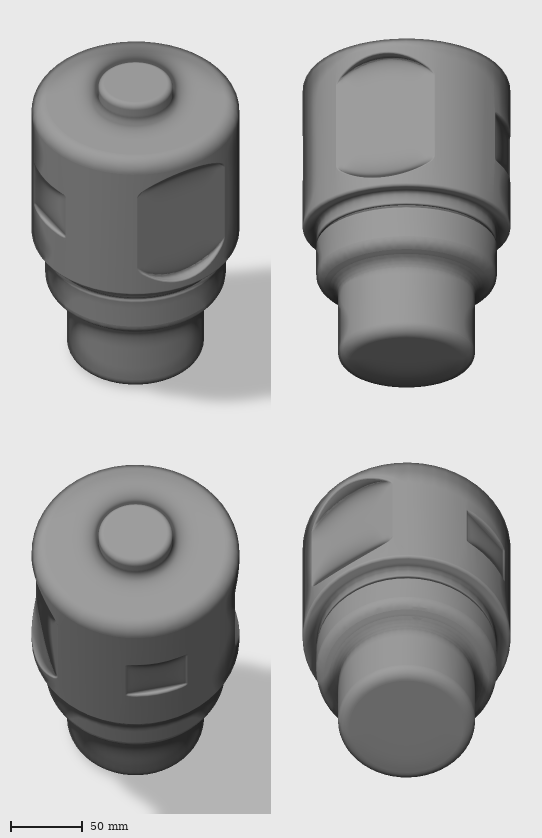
import cadquery as cq
import math

total_height = 234.5
knob_height = 15.0
body_top = total_height - knob_height
body_bottom = 102.2
neck_bottom = 92.5
collar_top = 90.4
spigot_top = 56.5

knob_radius = 26.0
body_radius = 72.7
neck_radius = 63.0
groove_radius = 61.0
collar_radius = 63.2
spigot_radius = 48.0

shoulder_slope = math.radians(19.0)
collar_bottom = spigot_top + (collar_radius - spigot_radius) * math.tan(shoulder_slope)

knob_round = 4.0
body_top_round = 10.0
body_bottom_round = 2.0
neck_foot_round = 1.0
collar_top_round = 1.5
spigot_round = 8.0

flat_distance = 63.5
flat_height = 157.7
flat_disc_radius = 47.8
flat_edge_round = 1.0
window_floor_distance = 68.5
window_height = 157.1
window_size_across = 43.6
window_size_up = 36.5
window_edge_round = 1.4

cutter_length = 20.0
seam_angle = 45.0
tolerance = 0.01


def round_circle(part, radius, height, size):
    """Round the circular edge of the given radius at the given height."""

    def is_wanted(edge):
        return (
            edge.geomType() == "CIRCLE"
            and abs(edge.radius() - radius) < tolerance
            and abs(edge.Center().z - height) < tolerance
        )

    return part.edges().filter(is_wanted).fillet(size)


def turned_body():
    """Knob, body, neck, groove, collar and spigot, turned about the Z axis."""
    profile = [
        (0, 0),
        (spigot_radius, 0),
        (spigot_radius, spigot_top),
        (collar_radius, collar_bottom),
        (collar_radius, collar_top),
        (groove_radius, collar_top),
        (groove_radius, neck_bottom),
        (neck_radius, neck_bottom),
        (neck_radius, body_bottom),
        (body_radius, body_bottom),
        (body_radius, body_top),
        (knob_radius, body_top),
        (knob_radius, total_height),
        (0, total_height),
    ]
    part = cq.Workplane("XZ").polyline(profile).close().revolve(360, (0, 0, 0), (0, 1, 0))
    rounds = [
        (spigot_radius, 0, spigot_round),
        (spigot_radius, spigot_top, spigot_round),
        (collar_radius, collar_bottom, spigot_round),
        (collar_radius, collar_top, collar_top_round),
        (neck_radius, neck_bottom, neck_foot_round),
        (neck_radius, body_bottom, body_bottom_round),
        (body_radius, body_bottom, body_bottom_round),
        (body_radius, body_top, body_top_round),
        (knob_radius, body_top, knob_round),
        (knob_radius, total_height, knob_round),
    ]
    for radius, height, size in rounds:
        part = round_circle(part, radius, height, size)
    return part.rotate((0, 0, 0), (0, 0, 1), seam_angle)


def flat_cutter():
    """Disc on the +X side whose inner face is the flat, with a rounded floor edge."""
    disc = cq.Workplane("YZ", origin=(flat_distance, 0, flat_height)).circle(flat_disc_radius)
    return disc.extrude(cutter_length).faces("<X").edges().fillet(flat_edge_round)


def window_cutter():
    """Block on the -Y side with rounded corners and a rounded floor edge."""
    outline = cq.Workplane("XZ", origin=(0, -window_floor_distance, window_height))
    block = outline.rect(window_size_across, window_size_up).extrude(cutter_length)
    block = block.edges("|Y").fillet(window_edge_round)
    return block.faces(">Y").edges().fillet(window_edge_round)


def cut_both_sides(part, cutter):
    """Cut with the tool and with its copy turned half way round the axis."""
    return part.cut(cutter).cut(cutter.rotate((0, 0, 0), (0, 0, 1), 180))


def lies_on_body(edge):
    """True if the edge runs along the cylindrical surface of the body."""
    points = edge.positions([0.1, 0.5, 0.9])
    return all(abs(math.hypot(p.x, p.y) - body_radius) < tolerance for p in points)


def is_flat_rim(edge):
    """True for the curved rims of the flats; their straight sides stay sharp."""
    beyond_flat = abs(edge.positionAt(0.5).x) > flat_distance
    between_rounds = body_bottom + body_bottom_round < edge.Center().z < body_top - body_top_round - tolerance
    return beyond_flat and between_rounds and edge.geomType() != "LINE" and lies_on_body(edge)


def is_window_rim(edge):
    """True for every rim edge of the windows."""
    return abs(edge.positionAt(0.5).y) > window_floor_distance and lies_on_body(edge)


result = turned_body()

result = cut_both_sides(result, flat_cutter())
result = result.edges().filter(is_flat_rim).fillet(flat_edge_round)

result = cut_both_sides(result, window_cutter())
result = result.edges().filter(is_window_rim).fillet(window_edge_round)